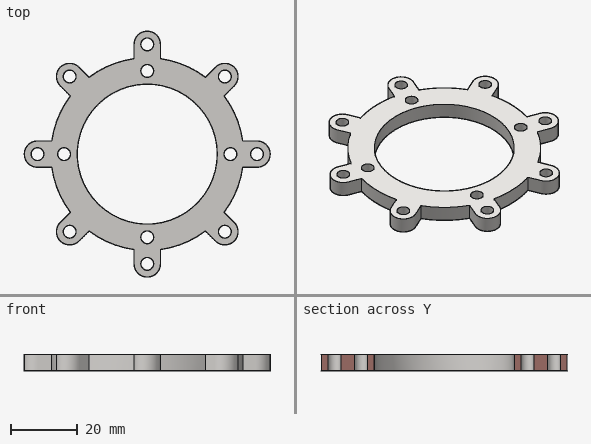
import cadquery as cq

overall_span = 74.0
thickness = 5.0
ring_diameter = 58.0
bore_diameter = 42.0
tab_width = 8.0
tab_count = 8
hole_diameter = 3.8
inner_hole_count = 4
inner_hole_radius = 25.0

tab_hole_radius = (overall_span - tab_width) / 2


def make_tab(angle):
    """Radial arm from the centre, with a rounded end around its hole."""
    arm = (
        cq.Workplane("XY")
        .center(tab_hole_radius / 2, 0)
        .rect(tab_hole_radius, tab_width)
        .extrude(thickness)
    )
    rounded_end = (
        cq.Workplane("XY")
        .center(tab_hole_radius, 0)
        .circle(tab_width / 2)
        .extrude(thickness)
    )
    return arm.union(rounded_end).rotate((0, 0, 0), (0, 0, 1), angle)


def make_hole_cutters(diameter, circle_radius, count):
    """Full-height cutters equally spaced on a circle, starting on +X."""
    return (
        cq.Workplane("XY")
        .polarArray(circle_radius, 0, 360, count)
        .circle(diameter / 2)
        .extrude(thickness)
    )


body = cq.Workplane("XY").circle(ring_diameter / 2).extrude(thickness)
for index in range(tab_count):
    body = body.union(make_tab(index * 360 / tab_count))

bore = cq.Workplane("XY").circle(bore_diameter / 2).extrude(thickness)
result = (
    body.cut(bore)
    .cut(make_hole_cutters(hole_diameter, tab_hole_radius, tab_count))
    .cut(make_hole_cutters(hole_diameter, inner_hole_radius, inner_hole_count))
)